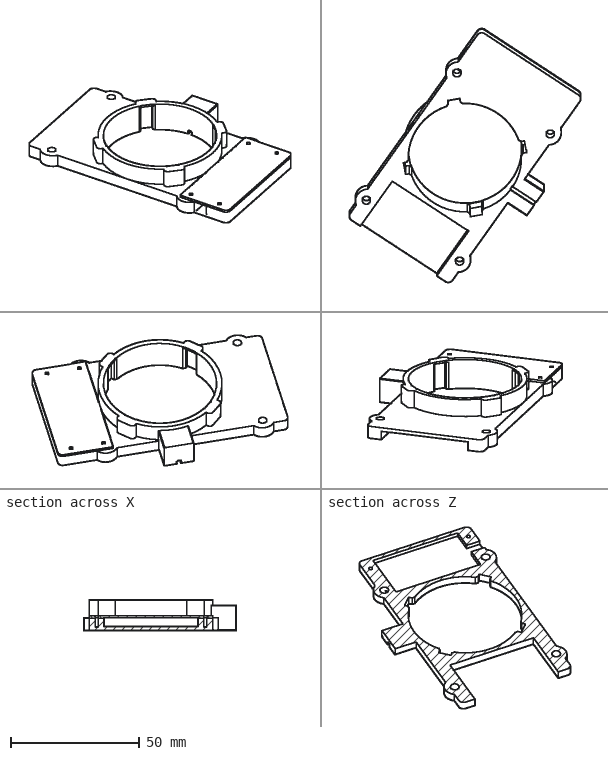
import cadquery as cq
import math

PLATE_LENGTH = 92.0
PLATE_THICKNESS = 5.0
PLATE_CORNER_RADIUS = 2.0

RING_BORE_DIAMETER = 44.1
RING_WALL = 2.1
OVERALL_HEIGHT = 12.0
RING_OUTER_RADIUS = RING_BORE_DIAMETER / 2 + RING_WALL
PLATE_WIDTH = 2 * RING_OUTER_RADIUS

LUG_COUNT = 4
LUG_WIDTH = 8.2
LUG_WALL = 2.0
LUG_CORNER_RADIUS = 1.5
SLOT_WIDTH = 4.8
SLOT_REACH = 24.0
SLOT_MOUTH_CHAMFER = 0.8
SLOT_ROOF_THICKNESS = 0.8
LUG_REACH = SLOT_REACH + LUG_WALL

EAR_RADIUS = 4.9
EAR_REACH = 26.2
LEFT_EAR_X = -36.0
RIGHT_EAR_X = 26.7
SCREW_HOLE_DIAMETER = 3.2
SCREW_HOLE_Y = 22.0

BLOCK_WIDTH = 12.0
BLOCK_HEIGHT = 10.0
BLOCK_BACK_Y = 33.2
BLOCK_CHAMFER = 0.3
CABLE_HOLE_DIAMETER = 2.0
CABLE_HOLE_Z = 0.7

BAY_INNER_X = 23.9
CHANNEL_WIDTH = 36.0
CHANNEL_ROOF_THICKNESS = 1.5
TRAY_WIDTH = 36.5
TRAY_FLOOR_THICKNESS = 1.7
TRAY_END_WALL = 2.0

WINDOW_LEFT_X = 32.05
WINDOW_RIGHT_X = 35.95
WINDOW_EDGE_RADIUS = 0.5

COVER_INNER_X = 24.2
COVER_THICKNESS = 0.9
COVER_HOLE_DIAMETER = 1.3
PILOT_HOLE_DIAMETER = 1.2
PILOT_HOLE_DEPTH = 3.5
DRILL_POINT_ANGLE = 118.0
COVER_SCREW_XS = (27.4, 40.4)
COVER_SCREW_Y = 21.2

HALF_LENGTH = PLATE_LENGTH / 2
HALF_WIDTH = PLATE_WIDTH / 2
COVER_SCREW_POINTS = [(x, side * COVER_SCREW_Y) for x in COVER_SCREW_XS for side in (-1, 1)]


def box(x_range, y_range, z_range):
    """Axis-aligned box between the given limits."""
    spans = [high - low for low, high in (x_range, y_range, z_range)]
    corner = (x_range[0], y_range[0], z_range[0])
    return cq.Workplane("XY").box(*spans, centered=False).translate(corner)


def cylinder(diameter, points, z_bottom, z_top):
    """Upright cylinders at the given points."""
    plane = cq.Workplane("XY").workplane(offset=z_bottom)
    return plane.pushPoints(points).circle(diameter / 2).extrude(z_top - z_bottom)


def make_plate():
    plate = box((-HALF_LENGTH, HALF_LENGTH), (-HALF_WIDTH, HALF_WIDTH), (0, PLATE_THICKNESS))
    plate = plate.edges("|Z").fillet(PLATE_CORNER_RADIUS)
    ear_y = EAR_REACH - EAR_RADIUS
    ear_points = [(x, side * ear_y) for x in (LEFT_EAR_X, RIGHT_EAR_X) for side in (-1, 1)]
    for point in ear_points:
        plate = plate.union(cylinder(2 * EAR_RADIUS, [point], 0, PLATE_THICKNESS))
    return plate


def make_cable_block():
    block = box((-BLOCK_WIDTH / 2, BLOCK_WIDTH / 2), (0, BLOCK_BACK_Y), (0, BLOCK_HEIGHT))
    return block.edges("|Y").chamfer(BLOCK_CHAMFER)


def lug_angles():
    return [(index + 0.5) * 360 / LUG_COUNT for index in range(LUG_COUNT)]


def make_lug():
    """Lug pointing along +X, with rounded outer corners."""
    lug = box((0, LUG_REACH), (-LUG_WIDTH / 2, LUG_WIDTH / 2), (PLATE_THICKNESS, OVERALL_HEIGHT))
    return lug.edges("|Z and >X").fillet(LUG_CORNER_RADIUS)


def make_lug_slot():
    """Slot pointing along +X: a chamfered mouth, a deep pocket, and a flat across the top lip."""
    half = SLOT_WIDTH / 2
    bore_radius = RING_BORE_DIAMETER / 2
    slot_top = OVERALL_HEIGHT - SLOT_ROOF_THICKNESS
    mouth_half = half + SLOT_MOUTH_CHAMFER
    mouth_x = math.sqrt(bore_radius**2 - mouth_half**2)
    throat_x = mouth_x + SLOT_MOUTH_CHAMFER
    pocket = (
        cq.Workplane("XY")
        .moveTo(0, -mouth_half)
        .lineTo(mouth_x, -mouth_half)
        .lineTo(throat_x, -half)
        .lineTo(SLOT_REACH, -half)
        .lineTo(SLOT_REACH, half)
        .lineTo(throat_x, half)
        .lineTo(mouth_x, mouth_half)
        .lineTo(0, mouth_half)
        .close()
        .extrude(slot_top)
    )
    lip_flat = box((0, bore_radius), (-half, half), (0, OVERALL_HEIGHT))
    return pocket.union(lip_flat)


def make_cable_hole():
    """Passage from the bore out through the back of the cable block, open along the underside."""
    hole = cq.Workplane("XZ").center(0, CABLE_HOLE_Z).circle(CABLE_HOLE_DIAMETER / 2)
    return hole.extrude(-BLOCK_BACK_Y)


def make_bays():
    channel = box(
        (-HALF_LENGTH, -BAY_INNER_X),
        (-CHANNEL_WIDTH / 2, CHANNEL_WIDTH / 2),
        (0, PLATE_THICKNESS - CHANNEL_ROOF_THICKNESS),
    )
    tray = box(
        (BAY_INNER_X, HALF_LENGTH - TRAY_END_WALL),
        (-TRAY_WIDTH / 2, TRAY_WIDTH / 2),
        (TRAY_FLOOR_THICKNESS, PLATE_THICKNESS),
    )
    return channel.union(tray)


def cut_window(plate):
    """Cut the passage from the tray to the front wall and round its outer edges."""
    passage = box(
        (WINDOW_LEFT_X, WINDOW_RIGHT_X),
        (-HALF_WIDTH, -TRAY_WIDTH / 2),
        (TRAY_FLOOR_THICKNESS, PLATE_THICKNESS),
    )
    margin = WINDOW_EDGE_RADIUS / 2
    outer_edges = cq.selectors.BoxSelector(
        (WINDOW_LEFT_X - margin, -HALF_WIDTH - margin, TRAY_FLOOR_THICKNESS - margin),
        (WINDOW_RIGHT_X + margin, -HALF_WIDTH + margin, PLATE_THICKNESS - margin),
    )
    return plate.cut(passage).edges(outer_edges).fillet(WINDOW_EDGE_RADIUS)


def make_pilot_holes():
    """Blind holes under the cover screws, each with a conical drill point."""
    radius = PILOT_HOLE_DIAMETER / 2
    bottom = PLATE_THICKNESS - PILOT_HOLE_DEPTH
    tip = bottom - radius / math.tan(math.radians(DRILL_POINT_ANGLE / 2))
    profile = [(0, tip), (radius, bottom), (radius, PLATE_THICKNESS), (0, PLATE_THICKNESS)]
    hole = cq.Workplane("XZ").polyline(profile).close().revolve(360, (0, 0), (0, 1)).val()
    return cq.Workplane("XY").pushPoints(COVER_SCREW_POINTS).eachpoint(hole, combine=True)


def make_housing():
    plate = cut_window(make_plate().cut(make_bays()))
    housing = plate.union(make_cable_block())
    housing = housing.union(cylinder(2 * RING_OUTER_RADIUS, [(0, 0)], PLATE_THICKNESS, OVERALL_HEIGHT))
    for angle in lug_angles():
        housing = housing.union(make_lug().rotate((0, 0, 0), (0, 0, 1), angle))

    housing = housing.cut(cylinder(RING_BORE_DIAMETER, [(0, 0)], 0, OVERALL_HEIGHT))
    for angle in lug_angles():
        housing = housing.cut(make_lug_slot().rotate((0, 0, 0), (0, 0, 1), angle))
    housing = housing.cut(make_cable_hole())

    screw_points = [(x, side * SCREW_HOLE_Y) for x in (LEFT_EAR_X, RIGHT_EAR_X) for side in (-1, 1)]
    housing = housing.cut(cylinder(SCREW_HOLE_DIAMETER, screw_points, 0, PLATE_THICKNESS))
    return housing.cut(make_pilot_holes())


def make_cover():
    cover_top = PLATE_THICKNESS + COVER_THICKNESS
    cover = box((COVER_INNER_X, HALF_LENGTH), (-HALF_WIDTH, HALF_WIDTH), (PLATE_THICKNESS, cover_top))
    cover = cover.edges("|Z and >X").fillet(PLATE_CORNER_RADIUS)
    return cover.cut(cylinder(COVER_HOLE_DIAMETER, COVER_SCREW_POINTS, PLATE_THICKNESS, cover_top))


housing = make_housing()
cover = make_cover()

result = cq.Compound.makeCompound([housing.val(), cover.val()])